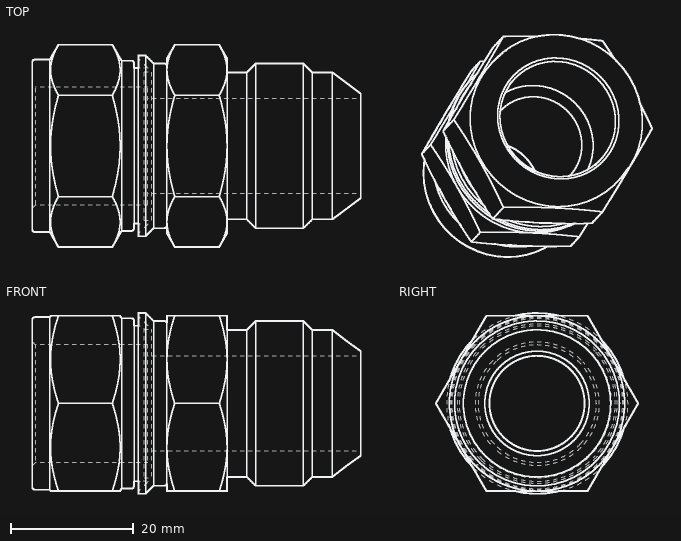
import cadquery as cq
import math

length = 53.55
hex_across_corners = 33.0
hex_across_flats = hex_across_corners * math.cos(math.pi / 6)
hex_bevel_slope = math.tan(math.pi / 3)

collar_diameter = 28.2
collar_edge_radius = 0.5
nut_hex_start = 2.9
nut_hex_end = 14.55
nut_rim_diameter = 27.8
nut_end = 16.6
rim_edge_radius = 0.45

neck_diameter = 25.4
neck_end = 18.15
recess_core_diameter = 24.2
flange_diameter = 29.5
flange_start = 17.3
flange_end = 18.5
flange_recess_diameter = 28.5
flange_recess_depth = (flange_recess_diameter - recess_core_diameter) / 2
shoulder_diameter = 26.9
shoulder_edge_radius = 0.45
shoulder_start = flange_end + (flange_diameter - shoulder_diameter) / 2

body_hex_start = 21.95
body_hex_end = 31.75

stem_diameter = 24.0
land_diameter = 26.9
land_bevel = (land_diameter - stem_diameter) / 2
land_start = 36.45
land_end = 44.2
cone_start = 48.9
cone_tip_diameter = 17.05

through_diameter = 15.5
tube_diameter = 19.25
tube_depth = 18.75
tube_mouth_chamfer = 0.5


def revolve_profile(points):
    """Revolve (x, diameter) points about X, closing the outline on the axis."""
    outline = [(x, diameter / 2) for x, diameter in points]
    first_x = outline[0][0]
    last_x = outline[-1][0]
    closed = [(first_x, 0)] + outline + [(last_x, 0)]
    return cq.Workplane("XY").polyline(closed).close().revolve(360, (0, 0), (1, 0))


def cylinder(start, end, diameter):
    return revolve_profile([(start, diameter), (end, diameter)])


def beveled_hex(start, end, start_diameter, end_diameter):
    """Hexagon with corners on Y, trimmed by a cone growing inward from each end."""
    prism = (
        cq.Workplane("YZ", origin=(start, 0, 0))
        .polygon(6, hex_across_corners)
        .extrude(end - start)
    )
    start_bevel = (hex_across_corners - start_diameter) / 2 / hex_bevel_slope
    end_bevel = (hex_across_corners - end_diameter) / 2 / hex_bevel_slope
    envelope = revolve_profile([
        (start, start_diameter),
        (start + start_bevel, hex_across_corners),
        (end - end_bevel, hex_across_corners),
        (end, end_diameter),
    ])
    return prism.intersect(envelope)


collar = cylinder(0, nut_hex_start, collar_diameter).faces("<X").edges().fillet(collar_edge_radius)
nut_hex = beveled_hex(nut_hex_start, nut_hex_end, collar_diameter, nut_rim_diameter)
nut_rim = cylinder(nut_hex_end, nut_end, nut_rim_diameter).faces(">X").edges().fillet(rim_edge_radius)

middle = revolve_profile([
    (nut_end, neck_diameter),
    (neck_end, neck_diameter),
    (neck_end, recess_core_diameter),
    (flange_start + flange_recess_depth, recess_core_diameter),
    (flange_start, flange_recess_diameter),
    (flange_start, flange_diameter),
    (flange_end, flange_diameter),
    (shoulder_start, shoulder_diameter),
    (body_hex_start, shoulder_diameter),
]).faces(">X").edges().fillet(shoulder_edge_radius)
body_hex = beveled_hex(body_hex_start, body_hex_end, hex_across_flats, hex_across_flats)

flared_end = revolve_profile([
    (body_hex_end, stem_diameter),
    (land_start - land_bevel, stem_diameter),
    (land_start, land_diameter),
    (land_end, land_diameter),
    (land_end + land_bevel, stem_diameter),
    (cone_start, stem_diameter),
    (length, cone_tip_diameter),
])

tube_socket = revolve_profile([
    (0, tube_diameter + 2 * tube_mouth_chamfer),
    (tube_mouth_chamfer, tube_diameter),
    (tube_depth, tube_diameter),
])
through_bore = cylinder(0, length, through_diameter)

result = collar
for section in (nut_hex, nut_rim, middle, body_hex, flared_end):
    result = result.union(section)
result = result.cut(tube_socket).cut(through_bore)